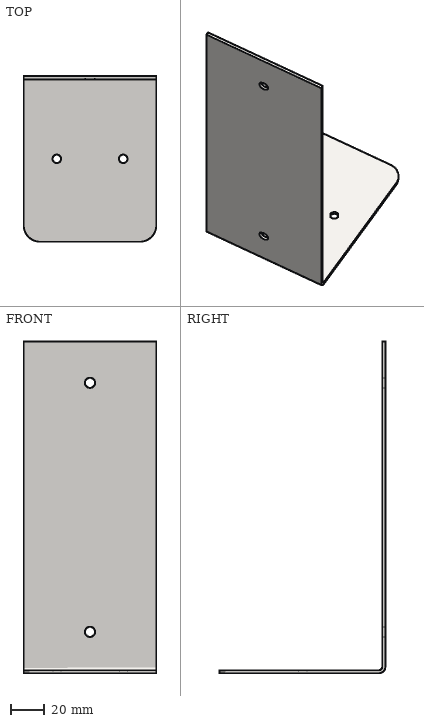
import cadquery as cq

width = 80.0
depth = 100.0
height = 200.0

thickness = 2.0
inner_bend_radius = 2.0
outer_bend_radius = inner_bend_radius + thickness

corner_radius = 10.0

wall_hole_diameter = 6.0
wall_hole_end_distance = 25.0
base_hole_diameter = 5.0
base_hole_spacing = 40.0

front_y = -depth / 2
back_y = depth / 2


def bent_sheet():
    """L-shaped side profile extruded across the width, with a rounded bend."""
    sheet = (
        cq.Workplane("YZ")
        .moveTo(front_y, 0)
        .lineTo(back_y, 0)
        .lineTo(back_y, height)
        .lineTo(back_y - thickness, height)
        .lineTo(back_y - thickness, thickness)
        .lineTo(front_y, thickness)
        .close()
        .extrude(width / 2, both=True)
    )
    inner_corner = cq.selectors.NearestToPointSelector((0, back_y - thickness, thickness))
    sheet = sheet.edges("|X").edges(inner_corner).fillet(inner_bend_radius)
    outer_corner = cq.selectors.NearestToPointSelector((0, back_y, 0))
    return sheet.edges("|X").edges(outer_corner).fillet(outer_bend_radius)


def wall_holes():
    """Two mounting holes on the wall centerline, equally far from its ends."""
    return (
        cq.Workplane("XZ", origin=(0, back_y, 0))
        .pushPoints([(0, wall_hole_end_distance), (0, height - wall_hole_end_distance)])
        .circle(wall_hole_diameter / 2)
        .extrude(thickness)
    )


def base_holes():
    """Two holes side by side at the middle of the base depth."""
    return (
        cq.Workplane("XY")
        .pushPoints([(-base_hole_spacing / 2, 0), (base_hole_spacing / 2, 0)])
        .circle(base_hole_diameter / 2)
        .extrude(thickness)
    )


bracket = bent_sheet().faces("<Y").edges("|Z").fillet(corner_radius)
result = bracket.cut(wall_holes()).cut(base_holes())